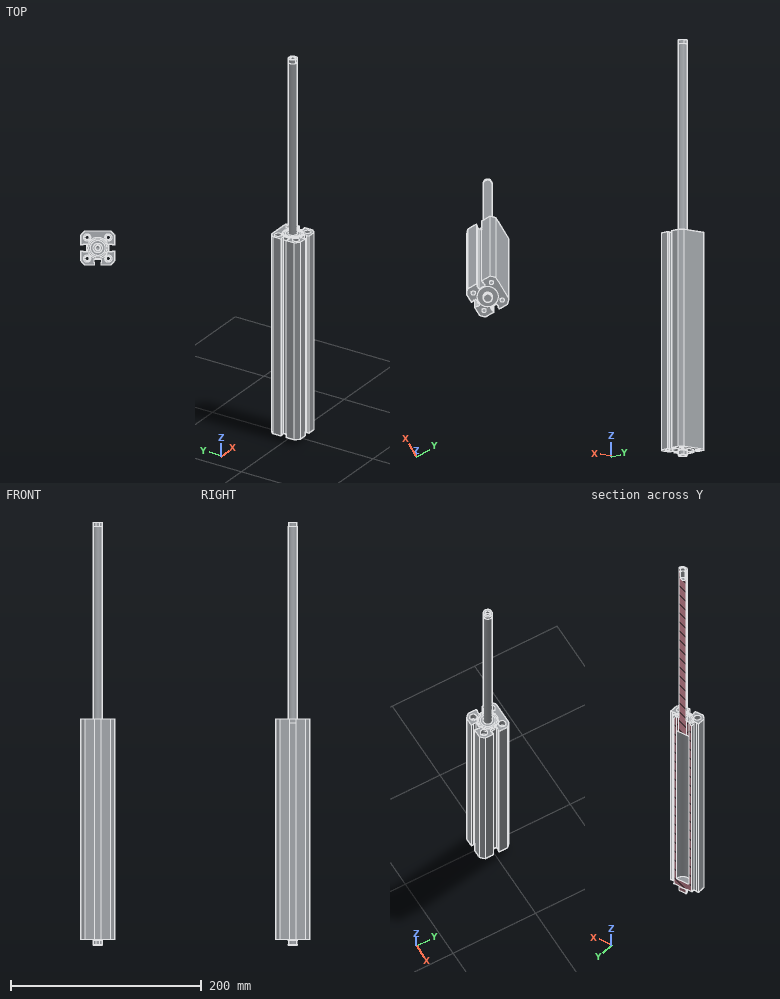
import cadquery as cq
import math

total_height = 444.0
housing_bottom = 6.0
housing_top = 238.0

housing_width = 36.0
corner_circle_diameter = 45.0
slot_mouth_width = 6.5
slot_inner_width = 7.5
slot_lip_thickness = 2.5
side_slot_depth = 6.0
front_slot_depth = 5.8

screw_spacing = 22.0
screw_hole_diameter = 4.5
counterbore_diameter = 7.5
counterbore_depth = 9.0

tube_diameter = 22.0
tube_base_thickness = 9.0
tube_chamfer_height = 4.5
tube_chamfer_width = 1.55
guide_diameter = 15.5
guide_length = 20.0

rod_diameter = 9.8
across_flats = 9.0
flats_height = 4.5
end_chamfer_height = 1.0
end_chamfer_width = 0.5
neck_height = 1.0
thread_hole_diameter = 5.5
thread_hole_depth = 13.5
countersink_diameter = 5.8
drill_point_angle = 118

housing_length = housing_top - housing_bottom
rod_bottom = housing_top - guide_length
rod_top = total_height - flats_height
bottom_fitting_top = housing_bottom - neck_height


def cylinder(diameter, bottom, top):
    """Solid cylinder on the Z axis between two heights."""
    return cq.Workplane("XY").workplane(offset=bottom).circle(diameter / 2).extrude(top - bottom)


def side_slot(depth):
    """Full-length T-slot cutter for the -Y side, with a mouth narrower than its inside."""
    outer_y = -housing_width / 2
    inner_y = outer_y + slot_lip_thickness
    floor_y = outer_y + depth
    mouth_x = slot_mouth_width / 2
    inner_x = slot_inner_width / 2
    return (
        cq.Workplane("XY")
        .workplane(offset=housing_bottom)
        .moveTo(-mouth_x, outer_y)
        .lineTo(-mouth_x, inner_y)
        .lineTo(-inner_x, inner_y)
        .lineTo(-inner_x, floor_y)
        .lineTo(inner_x, floor_y)
        .lineTo(inner_x, inner_y)
        .lineTo(mouth_x, inner_y)
        .lineTo(mouth_x, outer_y)
        .close()
        .extrude(housing_length)
    )


def make_housing():
    """Square profile with rounded corners, three T-slots, four screw holes and a bore."""
    body = (
        cq.Workplane("XY")
        .workplane(offset=housing_bottom)
        .rect(housing_width, housing_width)
        .extrude(housing_length)
        .intersect(cylinder(corner_circle_diameter, housing_bottom, housing_top))
    )
    for angle, depth in ((0, front_slot_depth), (90, side_slot_depth), (-90, side_slot_depth)):
        body = body.cut(side_slot(depth).rotate((0, 0, 0), (0, 0, 1), angle))
    body = (
        body.faces(">Z")
        .workplane(origin=(0, 0, housing_top))
        .rect(screw_spacing, screw_spacing, forConstruction=True)
        .vertices()
        .cboreHole(screw_hole_diameter, counterbore_diameter, counterbore_depth)
    )
    return body.cut(cylinder(tube_diameter, housing_bottom, housing_top))


def make_tube():
    """Tube filling the housing bore, chamfered at the top, closed by a base with a short neck."""
    tube = cylinder(tube_diameter, housing_bottom, housing_top)
    tube = tube.faces(">Z").chamfer(tube_chamfer_height, tube_chamfer_width)
    tube = tube.cut(cylinder(guide_diameter, housing_bottom + tube_base_thickness, housing_top))
    return tube.union(cylinder(rod_diameter, bottom_fitting_top, housing_bottom))


def make_guide():
    """Ring between the rod and the tube, flush with the top of the tube."""
    guide = cylinder(guide_diameter, rod_bottom, housing_top)
    return guide.cut(cylinder(rod_diameter, rod_bottom, housing_top))


def thread_hole():
    """Cutter for the countersunk blind hole, with a drill point, in the top end of the rod."""
    hole_radius = thread_hole_diameter / 2
    countersink_radius = countersink_diameter / 2
    countersink_bottom = total_height - (countersink_radius - hole_radius)
    floor_z = total_height - thread_hole_depth
    point_z = floor_z - hole_radius / math.tan(math.radians(drill_point_angle / 2))
    return (
        cq.Workplane("XZ")
        .moveTo(0, total_height)
        .lineTo(countersink_radius, total_height)
        .lineTo(hole_radius, countersink_bottom)
        .lineTo(hole_radius, floor_z)
        .lineTo(0, point_z)
        .close()
        .revolve(360, (0, 0, 0), (0, 1, 0))
    )


def make_rod():
    """Rod from the bottom of the guide ring to the top fitting, with the end of the blind hole."""
    return cylinder(rod_diameter, rod_bottom, rod_top).cut(thread_hole())


def wrench_flats(top):
    """Cutters for the two wrench flats, facing -Y and +Y, that end at the given height."""
    return (
        cq.Workplane("XY")
        .workplane(offset=top - flats_height)
        .pushPoints([(0, -across_flats), (0, across_flats)])
        .rect(rod_diameter, across_flats)
        .extrude(flats_height)
    )


def make_top_fitting():
    """End fitting on the rod, with wrench flats over its full height and a hole through it."""
    fitting = cylinder(rod_diameter, rod_top, total_height)
    return fitting.cut(wrench_flats(total_height)).cut(thread_hole())


def make_bottom_fitting():
    """End fitting under the tube, with wrench flats and a chamfered lower end."""
    fitting = cylinder(rod_diameter, 0, bottom_fitting_top)
    fitting = fitting.faces("<Z").chamfer(end_chamfer_height, end_chamfer_width)
    return fitting.cut(wrench_flats(bottom_fitting_top))


housing = make_housing()
tube = make_tube()
guide = make_guide()
rod = make_rod()
top_fitting = make_top_fitting()
bottom_fitting = make_bottom_fitting()

result = cq.Compound.makeCompound(
    [
        housing.val(),
        tube.val(),
        guide.val(),
        rod.val(),
        top_fitting.val(),
        bottom_fitting.val(),
    ]
)